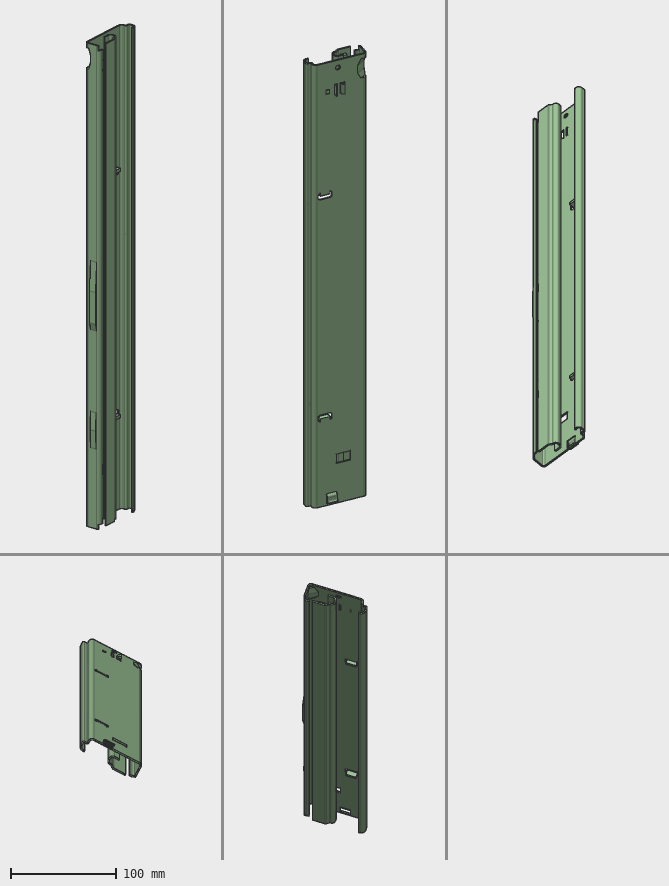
import cadquery as cq
import math


SHEET = 1.5
HALF_SHEET = SHEET / 2
RAIL_LENGTH = 499.0
RAIL_DEPTH = 60.75

HOOK_REACH = 15.3
HOOK_TIP_Y = 54.7
STEP_X = 6.0
STEP_Y = 56.0
CURL_REACH = 16.7
CURL_HEIGHT = 5.6
HOOK_BEND = 3.6
STEP_BEND = 1.0
WALL_BEND = 3.2
FLANGE_BEND = 2.5
CURL_START_X = 14.8
CURL_SETBACK = 5.0
NUB_LENGTH = 1.0
NUB_WIDTH = 1.5

RUNNER_TOP_Y = 30.7
RUNNER_TIP_Y = 21.5
RUNNER_REACH = 17.79
RUNNER_FOOT_Y = 9.5
RUNNER_JOG_Y = (25.9, 22.6)
RUNNER_BEND = 3.0
RUNNER_JOG_BEND = 1.0
RUNNER_SETBACK = 1.5

PAD_THICKNESS = 3.2
PAD_Y = (14.8, 20.7)
PAD_HEIGHT = 8.0
PAD_TOP_DROP = 5.5

ROUND_HOLE_DIAMETER = 5.0
ROUND_HOLE_Y = 30.3
ROUND_HOLE_DROP = 8.3
WINDOW_Y = (17.0, 32.0)
WINDOW_Z = (44.75, 55.25)

NOTCH_Y = (39.4, 42.6)
NOTCH_Z = (463.7, 468.2)
NOTCH_DEPTH = 1.2

MOUNTING_SLOTS = [(350.0, 1), (100.0, -1)]
MOUNTING_SLOT_Y = (36.5, 51.0)
MOUNTING_SLOT_HEIGHT = 7.4
MOUNTING_SLOT_CORNER = 2.5
LIP_Y = (38.5, 48.8)
LIP_HEIGHT = 3.2
LIP_REACH = 5.0

LUG_REACH = 4.0
LUG_Z = (461.5, 472.5)
LUG_SLOT_Y = (30.6, 33.2)
CURVED_LUG_SLOT_Y = (23.0, 27.5)
CURVED_LUG_PATH = [(HALF_SHEET, 27.4, 0), (-2.0, 26.6, 1.0), (-3.1, 24.2, 0)]

TONGUE_Y = (31.7, 42.2)
TONGUE_OPENING_Z = (2.5, 12.0)
TONGUE_PATH = [(HALF_SHEET, 13.0, 0), (-1.6, 10.2, 1.0), (-1.6, 6.2, 1.0), (-3.2, 4.0, 0)]

LONG_BUMP_X = (6.2, 13.5)
LONG_BUMP = [(275.4, 0), (245.0, 1.8), (212.0, 1.8), (204.5, 0)]
SHORT_BUMP_X = (6.2, 12.8)
SHORT_BUMP = [(120.0, 0), (101.4, 1.0), (82.6, 0)]

DENT_ON_WALL = 9.7
DENT_ON_FLANGE = 6.2
DENT_FLAT_Z = (478.7, 487.4)
DENT_END_Z = (472.3, 493.8)
DENT_END_SIZE = 0.65


def side_of_path(path, offset):
    """Return the line and arc pieces of a bent path moved sideways by offset (left is positive).

    Each path point is (x, y, bend radius); the radius belongs to the middle of the sheet.
    """
    corners = []
    for i, (x, y, radius) in enumerate(path):
        point = cq.Vector(x, y)
        into = out = None
        if i > 0:
            into = (point - cq.Vector(*path[i - 1][:2])).normalized()
        if i < len(path) - 1:
            out = (cq.Vector(*path[i + 1][:2]) - point).normalized()
        if into is None or out is None:
            along = into or out
            corners.append([point + cq.Vector(-along.y, along.x) * offset])
            continue
        turn = into.cross(out).z
        angle = math.acos(into.dot(out))
        setback = radius * math.tan(angle / 2)
        to_centre = math.copysign(1, turn)
        centre = point - into * setback + cq.Vector(-into.y, into.x) * (radius * to_centre)
        side_radius = radius - offset * to_centre
        arc_start = centre - cq.Vector(-into.y, into.x) * (side_radius * to_centre)
        arc_end = centre - cq.Vector(-out.y, out.x) * (side_radius * to_centre)
        arc_middle = centre + (point - centre).normalized() * side_radius
        corners.append([arc_start, arc_middle, arc_end])

    pieces = []
    for i, corner in enumerate(corners):
        if len(corner) == 3:
            pieces.append(cq.Edge.makeThreePointArc(*corner))
        if i < len(corners) - 1:
            pieces.append(cq.Edge.makeLine(corner[-1], corners[i + 1][0]))
    return pieces, corners[0][0], corners[-1][0]


def bent_sheet(path, length):
    """Extrude a sheet bent along an XY path upward from Z = 0."""
    left, left_start, left_end = side_of_path(path, HALF_SHEET)
    right, right_start, right_end = side_of_path(path, -HALF_SHEET)
    ends = [cq.Edge.makeLine(left_start, right_start), cq.Edge.makeLine(left_end, right_end)]
    outline = cq.Wire.assembleEdges(left + ends[1:] + right[::-1] + ends[:1])
    return cq.Workplane(cq.Solid.extrudeLinear(outline, [], cq.Vector(0, 0, length)))


def block(x_range, y_range, z_range):
    """Return a box between the given limits."""
    spans = [high - low for low, high in (x_range, y_range, z_range)]
    corner = (x_range[0], y_range[0], z_range[0])
    return cq.Workplane("XY").box(*spans, centered=False).translate(corner)


def wall_opening(y_range, z_range):
    """Return a cutter that passes through the wall only."""
    return block((-SHEET, 2 * SHEET), y_range, z_range)


def rail_profile():
    path = [
        (HOOK_REACH - HALF_SHEET, HOOK_TIP_Y, 0),
        (HOOK_REACH - HALF_SHEET, RAIL_DEPTH - HALF_SHEET, HOOK_BEND),
        (STEP_X + HALF_SHEET, RAIL_DEPTH - HALF_SHEET, STEP_BEND),
        (STEP_X + HALF_SHEET, STEP_Y - HALF_SHEET, STEP_BEND),
        (HALF_SHEET, STEP_Y - HALF_SHEET, WALL_BEND),
        (HALF_SHEET, HALF_SHEET, FLANGE_BEND),
        (CURL_REACH - HALF_SHEET, HALF_SHEET, FLANGE_BEND),
        (CURL_REACH - HALF_SHEET, CURL_HEIGHT, 0),
    ]
    return bent_sheet(path, RAIL_LENGTH)


def trim_curl(rail):
    """Stop the curl short of both ends of the rail."""
    for low in (0, RAIL_LENGTH - CURL_SETBACK):
        curl_end = block((CURL_START_X, CURL_REACH), (0, CURL_HEIGHT), (low, low + CURL_SETBACK))
        rail = rail.cut(curl_end)
    return rail


def add_hook_nub(rail):
    """Extend the hook tip a little below the lower end."""
    nub_x = (HOOK_REACH - SHEET, HOOK_REACH)
    nub_y = (HOOK_TIP_Y, HOOK_TIP_Y + NUB_WIDTH)
    nub = block(nub_x, nub_y, (-NUB_LENGTH, NUB_LENGTH))
    return rail.union(nub)


def corner_wedge(growth):
    """Return the dent as a wedge with sloped ends, its faces moved inward by growth."""
    scale = 1 + growth * math.hypot(DENT_ON_WALL, DENT_ON_FLANGE) / (DENT_ON_WALL * DENT_ON_FLANGE)
    levels = [
        (DENT_END_Z[0] - growth, DENT_END_SIZE * scale),
        (DENT_FLAT_Z[0], scale),
        (DENT_FLAT_Z[1], scale),
        (DENT_END_Z[1] + growth, DENT_END_SIZE * scale),
    ]
    sections = []
    for z, size in levels:
        corners = [(0, 0, z), (DENT_ON_FLANGE * size, 0, z), (0, DENT_ON_WALL * size, z)]
        sections.append(cq.Wire.makePolygon([cq.Vector(*c) for c in corners], close=True))
    return cq.Workplane(cq.Solid.makeLoft(sections, True))


def press_corner_dent(rail):
    rounded_corner = (
        cq.Workplane("XY")
        .box(2 * DENT_ON_WALL, 2 * DENT_ON_WALL, RAIL_LENGTH, centered=False)
        .edges("|Z and <X and <Y")
        .fillet(FLANGE_BEND + HALF_SHEET)
    )
    skin = corner_wedge(SHEET).intersect(rounded_corner)
    return rail.union(skin).cut(corner_wedge(0))


def cut_wall_openings(rail):
    hole = (
        cq.Workplane("YZ", origin=(-SHEET, ROUND_HOLE_Y, RAIL_LENGTH - ROUND_HOLE_DROP))
        .circle(ROUND_HOLE_DIAMETER / 2)
        .extrude(3 * SHEET)
    )
    rail = rail.cut(hole)
    return rail.cut(wall_opening(WINDOW_Y, WINDOW_Z))


def cut_ramp_notch(rail):
    notch = (
        cq.Workplane("XY", origin=(0, 0, NOTCH_Z[0]))
        .polyline([(0, NOTCH_Y[0]), (NOTCH_DEPTH, NOTCH_Y[1]), (0, NOTCH_Y[1])])
        .close()
        .extrude(NOTCH_Z[1] - NOTCH_Z[0])
    )
    return rail.cut(notch)


def add_mounting_slot(rail, middle, lip_side):
    """Cut a rounded slot and leave a lip that turns inward from one long side."""
    half_height = MOUNTING_SLOT_HEIGHT / 2
    slot = wall_opening(MOUNTING_SLOT_Y, (middle - half_height, middle + half_height))
    slot = slot.edges("|X").fillet(MOUNTING_SLOT_CORNER)
    edge = middle + lip_side * half_height
    lip_z = sorted((edge, edge - lip_side * LIP_HEIGHT))
    lip = block((0, LIP_REACH), LIP_Y, lip_z)
    return rail.cut(slot).union(lip)


def add_lugs(rail):
    """Bend a straight lug and a curved lug out of two slots side by side."""
    height = LUG_Z[1] - LUG_Z[0]
    straight_y = (LUG_SLOT_Y[1] - HALF_SHEET, LUG_SLOT_Y[1] + HALF_SHEET)
    straight = block((-LUG_REACH, SHEET), straight_y, LUG_Z)
    curved = bent_sheet(CURVED_LUG_PATH, height).translate((0, 0, LUG_Z[0]))
    for slot_y in (LUG_SLOT_Y, CURVED_LUG_SLOT_Y):
        rail = rail.cut(wall_opening(slot_y, LUG_Z))
    return rail.union(straight).union(curved)


def add_tongue(rail):
    """Bend a tongue outward and down from the upper edge of its opening."""
    tongue = bent_sheet(TONGUE_PATH, TONGUE_Y[1] - TONGUE_Y[0])
    tongue = tongue.rotate((0, 0, 0), (1, 0, 0), 90).translate((0, TONGUE_Y[1], 0))
    return rail.cut(wall_opening(TONGUE_Y, TONGUE_OPENING_Z)).union(tongue)


def bump_prism(x_range, crest, base_y):
    """Return a bump that stands out toward -Y from the plane Y = base_y."""
    points = [(base_y - depth, z) for z, depth in crest]
    return (
        cq.Workplane("YZ", origin=(x_range[0], 0, 0))
        .polyline(points)
        .close()
        .extrude(x_range[1] - x_range[0])
    )


def press_bump(rail, x_range, crest):
    """Raise the flange outward and hollow it from inside, leaving sheet all around."""
    inner_x = (x_range[0] + SHEET, x_range[1] - SHEET)
    return rail.union(bump_prism(x_range, crest, 0)).cut(bump_prism(inner_x, crest, SHEET))


def build_rail():
    rail = trim_curl(rail_profile())
    rail = add_hook_nub(rail)
    rail = press_corner_dent(rail)
    rail = cut_wall_openings(rail)
    rail = cut_ramp_notch(rail)
    for middle, lip_side in MOUNTING_SLOTS:
        rail = add_mounting_slot(rail, middle, lip_side)
    rail = add_lugs(rail)
    rail = add_tongue(rail)
    rail = press_bump(rail, LONG_BUMP_X, LONG_BUMP)
    return press_bump(rail, SHORT_BUMP_X, SHORT_BUMP)


def build_runner():
    path = [
        (STEP_X + HALF_SHEET, RUNNER_TIP_Y, 0),
        (STEP_X + HALF_SHEET, RUNNER_TOP_Y - HALF_SHEET, RUNNER_BEND),
        (HOOK_REACH - HALF_SHEET, RUNNER_TOP_Y - HALF_SHEET, RUNNER_BEND),
        (HOOK_REACH - HALF_SHEET, RUNNER_JOG_Y[0], RUNNER_JOG_BEND),
        (RUNNER_REACH - HALF_SHEET, RUNNER_JOG_Y[1], RUNNER_JOG_BEND),
        (RUNNER_REACH - HALF_SHEET, RUNNER_FOOT_Y, 0),
    ]
    return bent_sheet(path, RAIL_LENGTH - RUNNER_SETBACK).translate((0, 0, RUNNER_SETBACK))


def build_stop_pad():
    inner_face = RUNNER_REACH - SHEET
    top = RAIL_LENGTH - PAD_TOP_DROP
    return block((inner_face - PAD_THICKNESS, inner_face), PAD_Y, (top - PAD_HEIGHT, top))


rail = build_rail()
runner = build_runner()
stop_pad = build_stop_pad()

result = cq.Compound.makeCompound([rail.val(), runner.val(), stop_pad.val()])